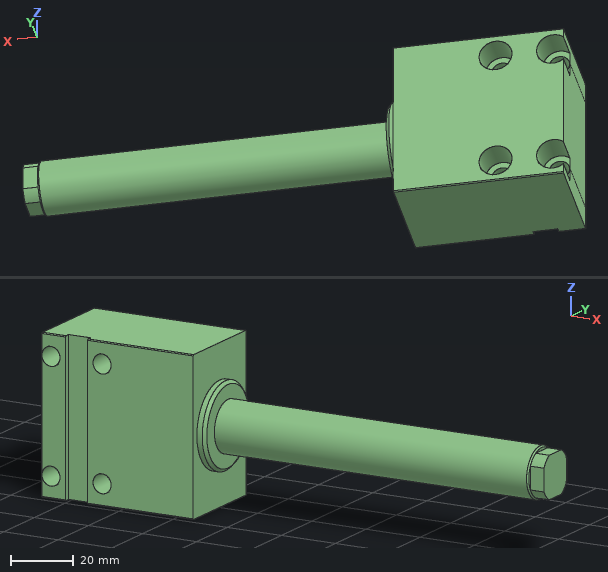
import cadquery as cq
total_length = 180.0

housing_length = 56.0
housing_depth = 35.0
housing_height = 55.0
housing_chamfer = 0.4

hole_diameter = 6.7
counterbore_diameter = 10.8
counterbore_depth = 10.0
first_hole_x = 3.5
hole_spacing_x = 18.9
hole_spacing_z = 40.0

slot_start = 8.8
slot_width = 8.1
slot_depth = 2.0

collar_diameter = 30.0
collar_length = 3.0
collar_chamfer = 1.0

rod_diameter = 18.0
rod_chamfer = 0.5
wrench_length = 5.0
wrench_flats = 15.0
wrench_diameter = rod_diameter - 2 * rod_chamfer
shoulder_x = total_length - wrench_length

front_y = -housing_depth / 2
back_y = housing_depth / 2


def cylinder_x(start, length, diameter):
    """Cylinder along the X axis."""
    return cq.Workplane("YZ", origin=(start, 0, 0)).circle(diameter / 2).extrude(length)


def cylinder_from_back(x, z, diameter, depth):
    """Cylinder running from the back face toward the front."""
    return cq.Workplane("XZ", origin=(x, back_y, z)).circle(diameter / 2).extrude(depth)


def make_housing():
    block = cq.Workplane("XY").box(
        housing_length, housing_depth, housing_height, centered=(False, True, True)
    )
    block = block.faces("<Y or >Y").edges("|X").chamfer(housing_chamfer)
    slot = cq.Workplane("XY", origin=(slot_start, front_y, 0)).box(
        slot_width, slot_depth, housing_height, centered=(False, False, True)
    )
    block = block.cut(slot)
    for x in (first_hole_x, first_hole_x + hole_spacing_x):
        for z in (-hole_spacing_z / 2, hole_spacing_z / 2):
            block = block.cut(cylinder_from_back(x, z, hole_diameter, housing_depth))
            block = block.cut(cylinder_from_back(x, z, counterbore_diameter, counterbore_depth))
    return block


def make_collar():
    ring = cylinder_x(housing_length, collar_length, collar_diameter)
    ring = ring.faces(">X").chamfer(collar_chamfer)
    return ring.cut(cylinder_x(housing_length, collar_length, rod_diameter))


def make_rod():
    shaft = cylinder_x(housing_length, shoulder_x - housing_length, rod_diameter)
    shaft = shaft.faces(">X").chamfer(rod_chamfer)
    wrench_end = cylinder_x(shoulder_x, wrench_length, wrench_diameter)
    square = cq.Workplane("YZ", origin=(shoulder_x, 0, 0)).rect(wrench_flats, wrench_flats)
    return shaft.union(wrench_end.intersect(square.extrude(wrench_length)))


housing = make_housing()
collar = make_collar()
rod = make_rod()

result = cq.Compound.makeCompound([housing.val(), collar.val(), rod.val()])